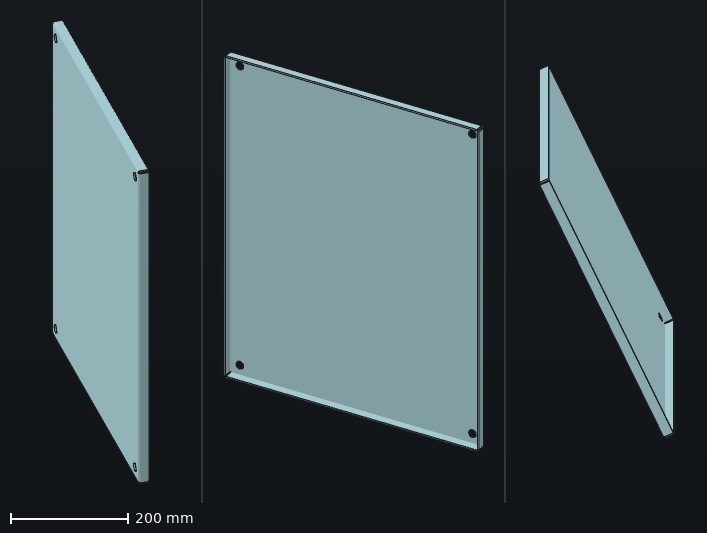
import cadquery as cq

width = 508.0
depth = 19.0
height = 632.0

sheet = 3.0
bend_radius = 4.0
inner_radius = bend_radius - sheet

hole_diameter = 14.5
hole_spacing_x = 463.0
hole_spacing_z = 587.0

flat_width = width - 2 * bend_radius
flat_height = height - 2 * bend_radius

front_y = -depth / 2
back_y = depth / 2


def folded_edge(half_span, length):
    """Bend and rear-pointing flange on the +X side, extruded along Z."""
    bend_line = half_span - bend_radius
    bend_y = front_y + bend_radius
    diagonal = 0.5 ** 0.5
    outer_mid = (bend_line + bend_radius * diagonal, bend_y - bend_radius * diagonal)
    inner_mid = (bend_line + inner_radius * diagonal, bend_y - inner_radius * diagonal)
    return (
        cq.Workplane("XY")
        .moveTo(bend_line, front_y)
        .threePointArc(outer_mid, (half_span, bend_y))
        .lineTo(half_span, back_y)
        .lineTo(half_span - sheet, back_y)
        .lineTo(half_span - sheet, bend_y)
        .threePointArc(inner_mid, (bend_line, front_y + sheet))
        .close()
        .extrude(length / 2, both=True)
    )


def turned(body, angle):
    """Rotate a body about the Y axis through the panel centre."""
    return body.rotate((0, 0, 0), (0, 1, 0), angle)


panel = cq.Workplane("XY").box(flat_width, sheet, flat_height)
panel = panel.translate((0, front_y + sheet / 2, 0))

side_flange = folded_edge(width / 2, flat_height)
end_flange = folded_edge(height / 2, flat_width)
for angle in (0, 180):
    panel = panel.union(turned(side_flange, angle))
    panel = panel.union(turned(end_flange, angle + 90))

holes = (
    cq.Workplane("XZ")
    .rarray(hole_spacing_x, hole_spacing_z, 2, 2)
    .circle(hole_diameter / 2)
    .extrude(depth, both=True)
)
result = panel.cut(holes)